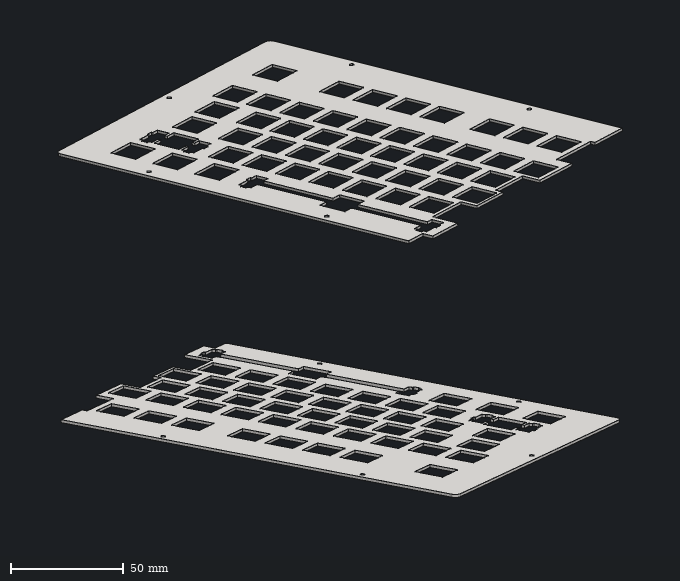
import cadquery as cq


TILT_ANGLE = 5.0
THICKNESS = 1.5
PLATE_WIDTH = 207.68
PLATE_DEPTH = 153.6
CORNER_RADIUS = 3.0
CUT_HEIGHT = 4 * THICKNESS

KEY_PITCH = 19.05
SWITCH_SIZE = 14.0
LEFT_MARGIN = 17.02
FRONT_MARGIN = 10.05
FUNCTION_ROW_GAP = 0.5 * KEY_PITCH

SPACE_ROW, SHIFT_ROW, HOME_ROW, UPPER_ROW, NUMBER_ROW = range(5)
FUNCTION_ROW_Y = FRONT_MARGIN + 5.5 * KEY_PITCH + FUNCTION_ROW_GAP

RIM_RIGHT = 201.4
FUNCTION_ROW_RIGHT = 198.9
UPPER_ROW_RIGHT = 197.9
HOME_ROW_RIGHT = 202.0
SHIFT_ROW_RIGHT = 193.0
SPACE_ROW_RIGHT = 207.2
FUNCTION_STEP_Y = FUNCTION_ROW_Y + 0.5 * KEY_PITCH
NUMBER_STEP_Y = 109.4
HOME_STEP_Y = 66.95
SPACE_STEP_Y = 28.0

STAB_SLOT_HEIGHT = 4.6
STAB_WIDTH = 6.65
STAB_REAR = 5.53
STAB_FRONT = 6.77
STAB_FOOT_WIDTH = 3.1
STAB_FOOT_DEPTH = 1.2
STAB_EAR_DEPTH = 0.85
STAB_EAR_REAR = 2.3
STAB_EAR_FRONT = -0.5
SHIFT_STAB_OFFSET = 11.94
SPACE_STAB_OFFSET = 50.0

HOLE_DIAMETER = 2.0
HOLE_INSET = 4.0
HOLE_COLUMNS = (50.3, 151.6)

SHIFT_KEY = 1.125
SPACE_KEY = 6.875
FUNCTION_KEYS = [0.5, 2.5, 3.5, 4.5, 5.5, 7.0, 8.0, 9.0]
KEY_ROWS = {
    NUMBER_ROW: [0.5 + i for i in range(10)],
    UPPER_ROW: [0.75] + [2.0 + i for i in range(8)],
    HOME_ROW: [0.875] + [2.25 + i for i in range(8)],
    SHIFT_ROW: [SHIFT_KEY] + [2.75 + i for i in range(7)],
    SPACE_ROW: [0.625, 1.875, 3.125, SPACE_KEY],
}


def column_x(units):
    """X at a distance of `units` key pitches from the first key's left side."""
    return LEFT_MARGIN + units * KEY_PITCH


def row_front_y(row):
    """Y of the front side of a key row."""
    return FRONT_MARGIN + row * KEY_PITCH


def row_center_y(row):
    return row_front_y(row) + 0.5 * KEY_PITCH


def box_between(x_min, x_max, y_min, y_max):
    """Cutting block through the sheet between the given limits."""
    return (
        cq.Workplane("XY")
        .box(x_max - x_min, y_max - y_min, CUT_HEIGHT)
        .translate(((x_min + x_max) / 2, (y_min + y_max) / 2, 0))
    )


def make_sheet():
    """Sheet whose right edge follows the ends of the key rows."""
    outline = [
        (0, 0),
        (RIM_RIGHT, 0),
        (RIM_RIGHT, row_front_y(SPACE_ROW)),
        (SPACE_ROW_RIGHT, row_front_y(SPACE_ROW)),
        (SPACE_ROW_RIGHT, SPACE_STEP_Y),
        (SHIFT_ROW_RIGHT, SPACE_STEP_Y),
        (SHIFT_ROW_RIGHT, row_front_y(HOME_ROW)),
        (HOME_ROW_RIGHT, row_front_y(HOME_ROW)),
        (HOME_ROW_RIGHT, HOME_STEP_Y),
        (UPPER_ROW_RIGHT, HOME_STEP_Y),
        (UPPER_ROW_RIGHT, row_front_y(NUMBER_ROW)),
        (PLATE_WIDTH, row_front_y(NUMBER_ROW)),
        (PLATE_WIDTH, NUMBER_STEP_Y),
        (FUNCTION_ROW_RIGHT, NUMBER_STEP_Y),
        (FUNCTION_ROW_RIGHT, FUNCTION_STEP_Y),
        (RIM_RIGHT, FUNCTION_STEP_Y),
        (RIM_RIGHT, PLATE_DEPTH),
        (0, PLATE_DEPTH),
    ]
    sheet = cq.Workplane("XY").polyline(outline).close().extrude(THICKNESS)
    return sheet.edges("|Z and <X").fillet(CORNER_RADIUS)


def cut_switches(plate):
    """Square switch openings of all rows."""
    centers = [(column_x(units), FUNCTION_ROW_Y) for units in FUNCTION_KEYS]
    for row, keys in KEY_ROWS.items():
        centers += [(column_x(units), row_center_y(row)) for units in keys]
    openings = (
        cq.Workplane("XY")
        .pushPoints(centers)
        .rect(SWITCH_SIZE, SWITCH_SIZE)
        .extrude(CUT_HEIGHT, both=True)
    )
    return plate.cut(openings)


def cut_stabilizer(plate, x, y, offset):
    """Pair of stabilizer openings about a key centre, joined by a slot."""
    half_slot = STAB_SLOT_HEIGHT / 2
    half_width = STAB_WIDTH / 2
    half_foot = STAB_FOOT_WIDTH / 2
    ear_reach = half_width + STAB_EAR_DEPTH
    plate = plate.cut(box_between(x - offset, x + offset, y - half_slot, y + half_slot))
    for side in (-1, 1):
        center = x + side * offset
        ear_x = sorted((center, center + side * ear_reach))
        plate = plate.cut(
            box_between(center - half_width, center + half_width, y - STAB_FRONT, y + STAB_REAR)
        )
        plate = plate.cut(
            box_between(center - half_foot, center + half_foot, y - STAB_FRONT - STAB_FOOT_DEPTH, y)
        )
        plate = plate.cut(box_between(ear_x[0], ear_x[1], y + STAB_EAR_FRONT, y + STAB_EAR_REAR))
    return plate


def cut_mounting_holes(plate):
    """Screw holes along the front, rear and left edges."""
    centers = [(HOLE_INSET, PLATE_DEPTH / 2)]
    for x in HOLE_COLUMNS:
        centers += [(x, HOLE_INSET), (x, PLATE_DEPTH - HOLE_INSET)]
    holes = (
        cq.Workplane("XY")
        .pushPoints(centers)
        .circle(HOLE_DIAMETER / 2)
        .extrude(CUT_HEIGHT, both=True)
    )
    return plate.cut(holes)


plate = make_sheet()
plate = cut_switches(plate)
plate = cut_stabilizer(plate, column_x(SHIFT_KEY), row_center_y(SHIFT_ROW), SHIFT_STAB_OFFSET)
plate = cut_stabilizer(plate, column_x(SPACE_KEY), row_center_y(SPACE_ROW), SPACE_STAB_OFFSET)
plate = cut_mounting_holes(plate)

result = plate.rotate((0, 0, 0), (1, 0, 0), TILT_ANGLE)